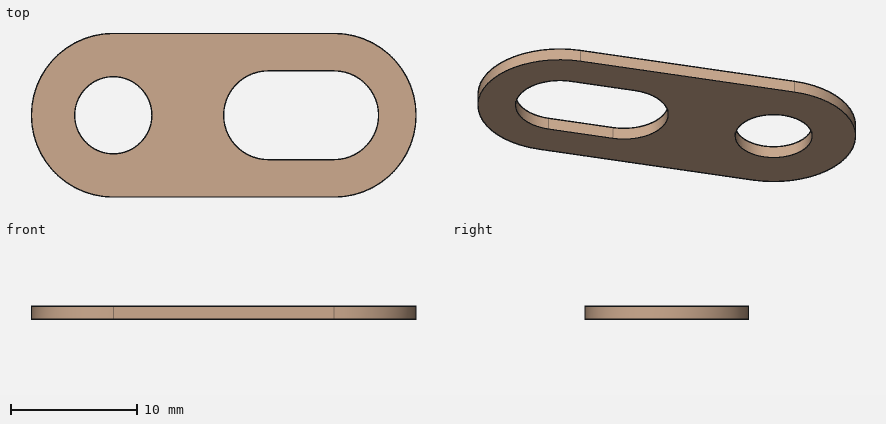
import cadquery as cq

length = 30.5
width = 13.0
thickness = 1.05

hole_diameter = 6.1
slot_width = 7.0
slot_center_spacing = 5.25

end_center_x = (length - width) / 2
slot_length = slot_center_spacing + slot_width
slot_center_x = end_center_x - slot_center_spacing / 2

plate = cq.Workplane("XY").slot2D(length, width).extrude(thickness)

round_hole = (
    cq.Workplane("XY")
    .center(-end_center_x, 0)
    .circle(hole_diameter / 2)
    .extrude(thickness)
)

slot = (
    cq.Workplane("XY")
    .center(slot_center_x, 0)
    .slot2D(slot_length, slot_width)
    .extrude(thickness)
)

result = plate.cut(round_hole).cut(slot)